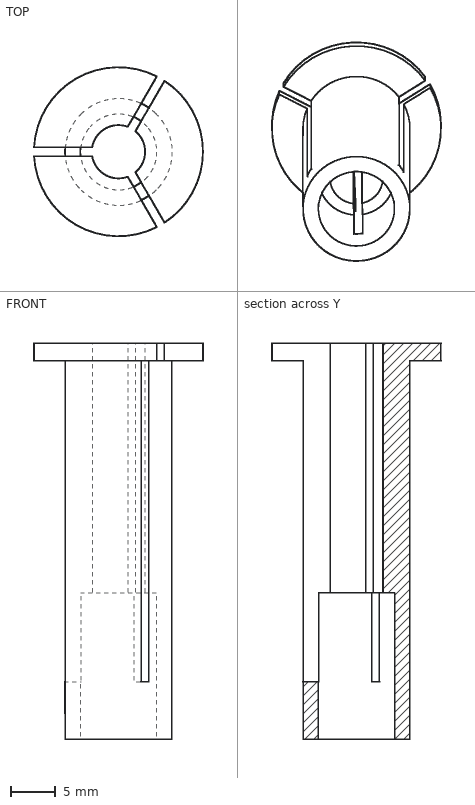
import cadquery as cq

total_height = 44.5
flange_diameter = 19.0
flange_thickness = 2.0

shank_diameter = 12.0

bore_diameter = 5.95
wide_bore_diameter = 8.55
wide_bore_depth = 16.45

slot_count = 3
slot_width = 1.0
slot_floor_height = 6.5
first_slot_angle = 180.0


def make_body():
    """Make the round shank with its flange on top."""
    shank = cq.Workplane("XY").circle(shank_diameter / 2).extrude(total_height)
    flange = (
        cq.Workplane("XY")
        .workplane(offset=total_height - flange_thickness)
        .circle(flange_diameter / 2)
        .extrude(flange_thickness)
    )
    return shank.union(flange)


def make_bore():
    """Make the narrow through bore and the wider bore below it."""
    through_bore = cq.Workplane("XY").circle(bore_diameter / 2).extrude(total_height)
    wide_bore = cq.Workplane("XY").circle(wide_bore_diameter / 2).extrude(wide_bore_depth)
    return through_bore.union(wide_bore)


def make_slot(angle):
    """Make one radial slot, from the axis outwards and open at the top."""
    return (
        cq.Workplane("XY")
        .box(
            flange_diameter,
            slot_width,
            total_height - slot_floor_height,
            centered=(False, True, False),
        )
        .translate((0, 0, slot_floor_height))
        .rotate((0, 0, 0), (0, 0, 1), angle)
    )


result = make_body().cut(make_bore())
for slot_index in range(slot_count):
    slot_angle = first_slot_angle + slot_index * 360 / slot_count
    result = result.cut(make_slot(slot_angle))